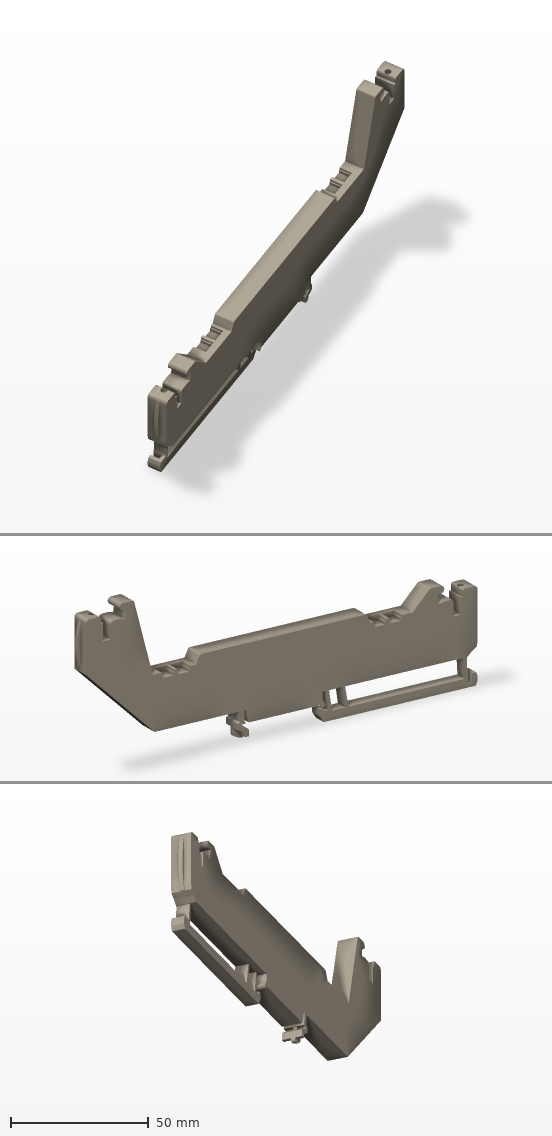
import cadquery as cq


thickness = 8.0
total_length = 172.42
total_height = 65.35
foot_thickness = 5.2

body_bottom = 12.0
keel_bottom = 6.9
terrace_level = 34.5
roof_level = 38.1

end_face = 84.65
roof_rear = 35.3
roof_front = -36.6
terrace_rear = (37.0, 55.9)
terrace_front = (-38.3, -56.5)
slope_foot = 55.1
slope_top = 40.6
front_corner = [(-end_face, 17.7), (-84.3, 15.3), (-82.2, 13.9), (-80.2, body_bottom)]

hook_rise = 3.2
rear_hook_top = total_height
front_hook_top = 42.2
lip_thickness = 2.9
post_inner = 78.3
slot_outer = 77.35
slot_inner = 74.15
slot_depth = 9.9
hook_nose = 70.2
hook_root = 67.3
shelf_root = 67.9
shelf_knee = 70.2
shelf_dip = 0.4
hook_back = 64.05
rear_shelf_drop = 2.7
front_shelf_drop = 3.2
shelf_radius_rear = 1.5
shelf_radius_front = 1.0
post_outer_radius = 1.6
post_inner_radius = 1.0
roof_radius = 0.9
nose_radius = 1.44
hook_back_radius = 0.9

hole_diameter = 2.5
hole_depth = 3.0
hole_y = 79.75

fin_x = (3.6, foot_thickness)
fin_root = 83.0
fin_rear_levels = (60.2, 41.0)
fin_front_levels = (38.0, 15.4)

pocket_width = 5.5
pocket_pitch = 6.8
pocket_depth = 2.15
pocket_reach = 5.2
pocket_ledge = 0.5
pocket_ledge_depth = 1.0
rear_pocket_centre = 45.9
front_pocket_centre = -45.8

keel_rear = 14.9
keel_front = -17.5
keel_toe_front = -19.0
keel_toe_bottom = 5.9
keel_toe_bevel = 0.55
keel_toe_setback = 0.1
keel_step = 0.5
keel_step_level = 9.1

rail_rear = -16.4
rail_front = -84.6
rail_top = 3.7
rail_end_top = 5.2
rail_end_inner = -80.1
rail_ramp_top = 6.2
lug_inner = -21.5
rail_chamfer = (1.7, 2.6)
rail_front_chamfer = (0.8, 1.9)
rail_front_slope = (0.6, 1.6)
channel = (-17.9, -20.0)
channel_floor = 4.3
notch_inner = -80.5
notch_mouth = -82.5
notch_toe = -81.7
notch_floor = 1.5
notch_reach = 3.7
web_overlap = 0.5
webs = [
    (-19.1, -20.3, -20.2, -21.7),
    (-26.2, -27.2, -27.6, -28.9),
    (-78.7, -79.9, -79.3, -80.3),
]

clip_rear = 19.0
clip_front = 14.35
clip_arm_rear = 18.1
clip_arm_front = 16.3
clip_tooth_bottom = 1.5
clip_tooth_rear = 16.0
clip_taper_level = 8.6
clip_tooth_top = 4.2
clip_throat_y = 17.5
clip_throat = (5.9, 6.7)
clip_lip = 15.75
clip_lip_level = 5.3
clip_heel = (4.8, 7.3)
clip_heel_slope = 0.5
clip_heel_front = (16.4, 3.7)
clip_rib_toe = [(clip_rear, 2.0), (18.3, 1.1), (15.9, 0), (14.7, 0), (clip_front, 0.5)]


def plate(points, x_start, x_end):
    """Extrude a closed Y-Z outline from x_start to x_end."""
    outline = cq.Workplane("YZ", origin=(x_start, 0, 0)).polyline(points).close()
    return outline.extrude(x_end - x_start)


def head_points(side, hook_top, shelf_drop):
    """Outline of one head from its end face to the back of its hook; side is +1 rear, -1 front."""
    post_top = hook_top - hook_rise
    shelf = post_top - shelf_drop
    slot_floor = post_top - slot_depth
    lip = hook_top - lip_thickness
    half_outline = [
        (end_face, post_top),
        (post_inner, post_top),
        (post_inner, shelf),
        (slot_outer, shelf),
        (slot_outer, slot_floor),
        (slot_inner, slot_floor),
        (slot_inner, shelf),
        (shelf_knee, shelf),
        (shelf_root, shelf - shelf_dip),
        (hook_root, lip),
        (hook_nose, lip),
        (hook_nose, hook_top),
        (hook_back, hook_top),
    ]
    return [(side * y, z) for y, z in half_outline]


def round_corners(solid, corners, radius):
    """Round the edges running along X through the given (y, z) corners."""
    for y, z in corners:
        edge = cq.selectors.NearestToPointSelector((thickness / 2, y, z))
        solid = solid.edges("|X").edges(edge).fillet(radius)
    return solid


def make_body():
    rear = head_points(1, rear_hook_top, rear_shelf_drop)
    front = head_points(-1, front_hook_top, front_shelf_drop)
    points = [(slope_foot, body_bottom), (end_face, slope_top)]
    points += rear
    points += [
        (terrace_rear[1], terrace_level),
        (terrace_rear[0], terrace_level),
        (roof_rear, roof_level),
        (roof_front, roof_level),
        (terrace_front[0], terrace_level),
        (terrace_front[1], terrace_level),
    ]
    points += reversed(front)
    points += front_corner
    body = plate(points, 0, thickness)
    for head, shelf_radius in ((rear, shelf_radius_rear), (front, shelf_radius_front)):
        post_outer_corner = head[0]
        post_inner_corner = head[1]
        shelf_corner = head[6]
        nose_corners = head[10:12]
        back_corner = head[12]
        body = round_corners(body, [post_outer_corner], post_outer_radius)
        body = round_corners(body, [post_inner_corner], post_inner_radius)
        body = round_corners(body, [shelf_corner], shelf_radius)
        body = round_corners(body, nose_corners, nose_radius)
        body = round_corners(body, [back_corner], hook_back_radius)
    roof_corners = [(roof_rear, roof_level), (roof_front, roof_level)]
    return round_corners(body, roof_corners, roof_radius)


def make_hole(side, hook_top):
    """Blind post hole with a 90 degree pointed bottom."""
    radius = hole_diameter / 2
    top = hook_top - hook_rise
    profile = [(0, 0), (radius, 0), (radius, radius - hole_depth), (0, -hole_depth)]
    hole = cq.Workplane("XZ").polyline(profile).close().revolve(360, (0, 0), (0, 1))
    return hole.translate((thickness / 2, side * hole_y, top))


def make_fin(side, levels):
    top, bottom = levels
    crest = (side * total_length / 2, (top + bottom) / 2)
    outline = (
        cq.Workplane("YZ", origin=(fin_x[0], 0, 0))
        .moveTo(side * fin_root, top)
        .lineTo(side * end_face, top)
        .threePointArc(crest, (side * end_face, bottom))
        .lineTo(side * fin_root, bottom)
        .close()
    )
    return outline.extrude(fin_x[1] - fin_x[0])


def make_pocket(y_centre):
    """Pocket open at the -X face, with a narrow ledge along both sides."""
    half = pocket_width / 2
    inner = half - pocket_ledge
    floor = terrace_level - pocket_depth
    ledge = terrace_level - pocket_ledge_depth
    points = [
        (y_centre - half, terrace_level),
        (y_centre - half, ledge),
        (y_centre - inner, ledge),
        (y_centre - inner, floor),
        (y_centre + inner, floor),
        (y_centre + inner, ledge),
        (y_centre + half, ledge),
        (y_centre + half, terrace_level),
    ]
    return plate(points, 0, pocket_reach)


def make_keel():
    """Shallow keel under the body with a hooked toe at its front end."""
    toe_rear = keel_front - keel_toe_setback
    points = [
        (keel_rear, body_bottom),
        (keel_rear, keel_step_level),
        (keel_rear - keel_step, keel_step_level),
        (keel_rear - keel_step, keel_bottom),
        (toe_rear, keel_bottom),
        (toe_rear, keel_toe_bottom),
        (keel_toe_front + keel_toe_bevel, keel_toe_bottom),
        (keel_toe_front, keel_toe_bottom + keel_toe_bevel),
        (keel_front, keel_step_level),
        (keel_front, body_bottom),
    ]
    return plate(points, 0, thickness)


def make_rail():
    rail = plate(
        [
            (rail_rear - rail_chamfer[0], 0),
            (rail_rear, rail_chamfer[1]),
            (rail_rear, rail_end_top),
            (channel[0], rail_end_top),
            (channel[0], channel_floor),
            (channel[1], channel_floor),
            (channel[1], rail_end_top),
            (lug_inner, rail_end_top),
            (lug_inner, rail_top),
            (rail_end_inner, rail_top),
            (rail_end_inner, rail_ramp_top),
            (notch_inner, rail_end_top),
            (rail_front + rail_front_slope[0], rail_end_top),
            (rail_front, rail_end_top - rail_front_slope[1]),
            (rail_front, rail_front_chamfer[1]),
            (rail_front + rail_front_chamfer[0], 0),
        ],
        0,
        foot_thickness,
    )
    notch = plate(
        [
            (notch_inner, rail_end_top),
            (notch_inner, notch_floor),
            (notch_toe, notch_floor),
            (notch_mouth, rail_end_top),
        ],
        0,
        notch_reach,
    )
    return rail.cut(notch)


def make_web(top_rear, top_front, bottom_rear, bottom_front):
    """Thin slanting web between the body and the foot rail, given by its Y limits."""
    points = [
        (top_rear, body_bottom + web_overlap),
        (top_front, body_bottom + web_overlap),
        (bottom_front, rail_top - web_overlap),
        (bottom_rear, rail_top - web_overlap),
    ]
    return plate(points, 0, foot_thickness)


def make_clip():
    """Spring clip: a full-width toothed arm and a narrow rib that backs it and reaches down to Z 0."""
    arm = plate(
        [
            (clip_arm_rear, body_bottom),
            (clip_arm_rear, clip_heel[1] + clip_heel_slope),
            (clip_rear, clip_heel[1]),
            (clip_rear, clip_heel[0]),
            (clip_arm_rear, clip_heel[0] - clip_heel_slope),
            clip_heel_front,
            (clip_tooth_rear, clip_tooth_bottom),
            (clip_front, clip_tooth_bottom),
            (clip_front, clip_tooth_top),
            (clip_lip, clip_lip_level),
            (clip_throat_y, clip_throat[0]),
            (clip_throat_y, clip_throat[1]),
            (clip_lip, clip_throat[1]),
            (clip_arm_front, clip_taper_level),
            (clip_arm_front, body_bottom),
        ],
        0,
        thickness,
    )
    rib = plate(
        [
            (clip_rear, body_bottom),
            *clip_rib_toe,
            (clip_front, clip_tooth_bottom),
            (clip_tooth_rear, clip_tooth_bottom),
            (clip_arm_front, body_bottom),
        ],
        *fin_x,
    )
    return arm.union(rib)


body = make_body()
for side, hook_top in ((1, rear_hook_top), (-1, front_hook_top)):
    body = body.cut(make_hole(side, hook_top))
for pair_centre in (rear_pocket_centre, front_pocket_centre):
    for offset in (-pocket_pitch / 2, pocket_pitch / 2):
        body = body.cut(make_pocket(pair_centre + offset))

result = (
    body.union(make_fin(1, fin_rear_levels))
    .union(make_fin(-1, fin_front_levels))
    .union(make_keel())
    .union(make_rail())
    .union(make_clip())
)
for web in webs:
    result = result.union(make_web(*web))